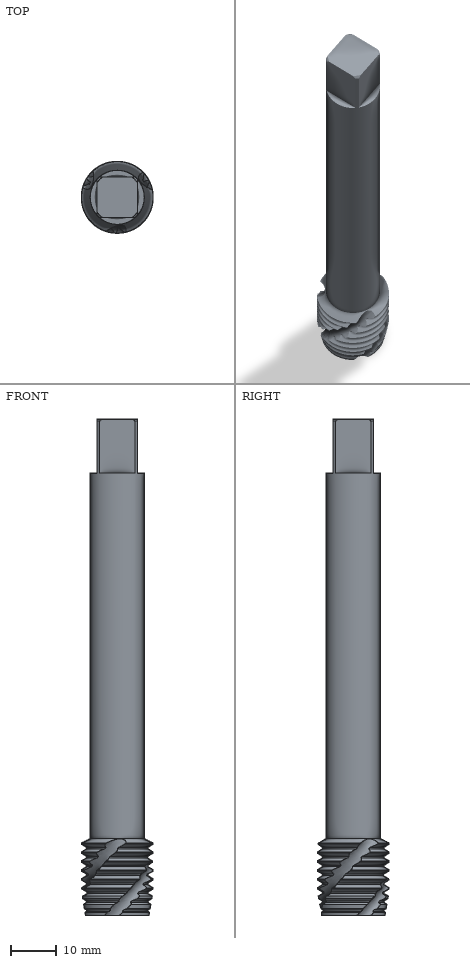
import cadquery as cq
import math

total_length = 110.0
head_length = 17.0
head_radius = 7.98
shank_radius = 6.0

square_length = 12.0
square_width = 9.0
top_chamfer = 0.4

thread_pitch = 2.0
crest_width = 0.25
root_width = 0.3
root_radius = 6.8
top_cone_height = 1.0
tip_radius = 7.0
lead_length = 5.5

flute_count = 3
flute_twist = 136.0
flute_top_angle = -84.0
flute_radius = 2.3
flute_floor_radius = 6.2


def revolve_around_z(profile):
    """Solid of revolution about Z from a closed outline of (y, z) points."""
    return cq.Workplane("YZ").polyline(profile).close().revolve(360, (0, 0, 0), (0, 1, 0))


def make_shank():
    """Round shank that stands on the head and ends in a square with round corners."""
    shank = revolve_around_z([
        (0, head_length),
        (-shank_radius, head_length),
        (-shank_radius, total_length - top_chamfer),
        (-shank_radius + top_chamfer, total_length),
        (0, total_length),
    ])
    waste_around_square = (
        cq.Workplane("XY")
        .workplane(offset=total_length - square_length)
        .circle(head_radius)
        .rect(square_width, square_width)
        .extrude(square_length)
    )
    return shank.cut(waste_around_square)


def head_blank():
    """Solid head with a conical top and a conical lead-in at the tip."""
    return revolve_around_z([
        (0, 0),
        (tip_radius, 0),
        (head_radius, lead_length),
        (head_radius, head_length - top_cone_height),
        (shank_radius, head_length),
        (0, head_length),
    ])


def thread_groove(center_z):
    """V groove around the head, centred at the given height."""
    half_mouth = (thread_pitch - crest_width) / 2
    half_root = root_width / 2
    return revolve_around_z([
        (root_radius, center_z - half_root),
        (root_radius, center_z + half_root),
        (head_radius, center_z + half_mouth),
        (head_radius, center_z - half_mouth),
    ])


def flute(bottom_angle):
    """Right-handed helical groove that runs the full height of the head."""
    center_radius = flute_floor_radius + flute_radius
    return (
        cq.Workplane("XY")
        .pushPoints([(center_radius, 0)])
        .circle(flute_radius)
        .twistExtrude(head_length, flute_twist)
        .rotate((0, 0, 0), (0, 0, 1), bottom_angle)
    )


def make_head():
    """Cutting head with ring threads and helical flutes."""
    head = head_blank()
    top_crest_z = head_length - top_cone_height - crest_width / 2
    top_groove_z = top_crest_z - thread_pitch / 2
    groove_count = math.ceil(top_groove_z / thread_pitch)
    for i in range(groove_count):
        head = head.cut(thread_groove(top_groove_z - i * thread_pitch))
    for i in range(flute_count):
        head = head.cut(flute(flute_top_angle - flute_twist + i * 360 / flute_count))
    return head


shank = make_shank()
head = make_head()
result = cq.Compound.makeCompound([shank.val(), head.val()])